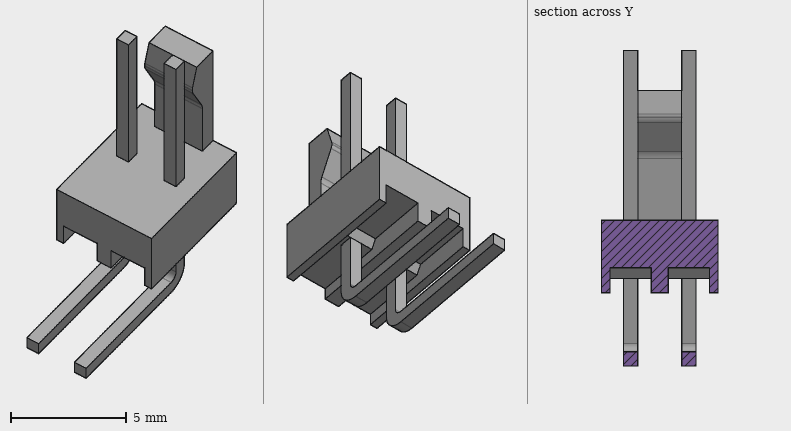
import cadquery as cq
import math

PITCH = 2.54
PIN_COUNT = 2
BODY_WIDTH = PIN_COUNT * PITCH
BODY_DEPTH = 6.35
BODY_BOTTOM = 3.18
BODY_HEIGHT = 3.17
BODY_TOP = BODY_BOTTOM + BODY_HEIGHT

PIN_SIZE = 0.63
PIN_BACK_Y = -2.57
PIN_TIP_Y = -9.9
PIN_HEIGHT = 13.72
BEND_INNER_RADIUS = 0.35
BEND_OUTER_RADIUS = BEND_INNER_RADIUS + PIN_SIZE

SLOT_WIDTH = 1.78
SLOT_DEPTH = 0.62
SLOT_MOUTH_DEPTH = 1.08
SLOPE_ANGLE = 28.0

LATCH_WIDTH = 2.55
LATCH_TOP = 11.99
LATCH_THICKNESS = 0.8
LATCH_TIP_THICKNESS = 1.22
NOSE_REACH = 1.55
NOSE_TOP_Z = 10.9
NOSE_BOTTOM_Z = 10.69
HOOK_BASE_Z = 9.19
NOSE_RADIUS = 0.47
HOOK_BASE_RADIUS = 0.69


def extrude_across(profile, width, center_x):
    """Extrude a closed YZ profile along X, centred on center_x."""
    return profile.extrude(width / 2, both=True).translate((center_x, 0, 0))


def make_body():
    body = cq.Workplane("XY").box(BODY_WIDTH, BODY_DEPTH, BODY_HEIGHT)
    return body.translate((0, -BODY_DEPTH / 2, BODY_BOTTOM + BODY_HEIGHT / 2))


def make_slot(center_x):
    slope_end_y = PIN_BACK_Y - PIN_SIZE
    slope_length = (SLOT_MOUTH_DEPTH - SLOT_DEPTH) * math.tan(math.radians(SLOPE_ANGLE))
    profile = (
        cq.Workplane("YZ")
        .moveTo(0, BODY_BOTTOM)
        .lineTo(0, BODY_BOTTOM + SLOT_DEPTH)
        .lineTo(slope_end_y, BODY_BOTTOM + SLOT_DEPTH)
        .lineTo(slope_end_y - slope_length, BODY_BOTTOM + SLOT_MOUTH_DEPTH)
        .lineTo(-BODY_DEPTH, BODY_BOTTOM + SLOT_MOUTH_DEPTH)
        .lineTo(-BODY_DEPTH, BODY_BOTTOM)
        .close()
    )
    return extrude_across(profile, SLOT_WIDTH, center_x)


def make_latch():
    profile = (
        cq.Workplane("YZ")
        .moveTo(0, BODY_TOP)
        .lineTo(0, LATCH_TOP)
        .lineTo(-LATCH_TIP_THICKNESS, LATCH_TOP)
        .lineTo(-NOSE_REACH, NOSE_TOP_Z)
        .lineTo(-NOSE_REACH, NOSE_BOTTOM_Z)
        .lineTo(-LATCH_THICKNESS, HOOK_BASE_Z)
        .lineTo(-LATCH_THICKNESS, BODY_TOP)
        .close()
    )
    latch = extrude_across(profile, LATCH_WIDTH, 0)
    rounded_corners = [
        (NOSE_REACH, NOSE_TOP_Z, NOSE_RADIUS),
        (NOSE_REACH, NOSE_BOTTOM_Z, NOSE_RADIUS),
        (LATCH_THICKNESS, HOOK_BASE_Z, HOOK_BASE_RADIUS),
    ]
    for reach, height, radius in rounded_corners:
        corner = cq.NearestToPointSelector((0, -reach, height))
        latch = latch.edges("|X").edges(corner).fillet(radius)
    return latch


def make_pin(center_x):
    pin_front_y = PIN_BACK_Y - PIN_SIZE
    profile = (
        cq.Workplane("YZ")
        .moveTo(PIN_BACK_Y, PIN_HEIGHT)
        .lineTo(PIN_BACK_Y, BEND_OUTER_RADIUS)
        .radiusArc((PIN_BACK_Y - BEND_OUTER_RADIUS, 0), BEND_OUTER_RADIUS)
        .lineTo(PIN_TIP_Y, 0)
        .lineTo(PIN_TIP_Y, PIN_SIZE)
        .lineTo(pin_front_y - BEND_INNER_RADIUS, PIN_SIZE)
        .radiusArc((pin_front_y, BEND_OUTER_RADIUS), -BEND_INNER_RADIUS)
        .lineTo(pin_front_y, PIN_HEIGHT)
        .close()
    )
    return extrude_across(profile, PIN_SIZE, center_x)


pin_positions = [(index - (PIN_COUNT - 1) / 2) * PITCH for index in range(PIN_COUNT)]

result = make_body().union(make_latch())
for pin_x in pin_positions:
    result = result.cut(make_slot(pin_x))
for pin_x in pin_positions:
    result = result.union(make_pin(pin_x))